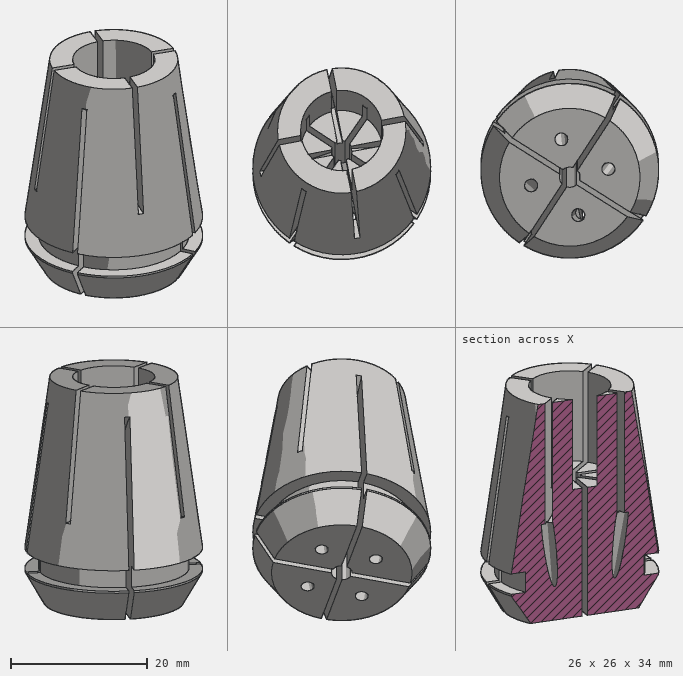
import cadquery as cq
import math


height = 34.0
max_radius = 13.0
taper_angle = 8.0
nose_angle = 30.0
nose_height = 4.75
rim_height = 0.3
groove_radius = 11.0
groove_width = 3.1

bore_radius = 6.0
bore_floor_z = 20.0
nose_bore_radius = 1.5

slot_width = 0.8
blade_radius = 16.5
nose_slot_outer_z = 30.5
nose_slot_inner_z = 27.2
back_slot_center_radius = 12.2
back_slot_floor_z = 14.5
quarter_turns = (0, 90, 180, 270)
back_slot_offset = 45

coolant_diameter = 1.87
coolant_tilt = 10.0
coolant_end_radius = 8.45
coolant_end_z = 15.2

groove_bottom_z = nose_height + rim_height
groove_top_z = groove_bottom_z + groove_width
taper = math.tan(math.radians(taper_angle))
nose_radius = max_radius - nose_height * math.tan(math.radians(nose_angle))
top_radius = max_radius - (height - groove_top_z) * taper
reach = max_radius + 1.0


def make_body():
    """Revolve the outer profile and cut the stepped bore."""
    profile = (
        cq.Workplane("XZ")
        .lineTo(nose_radius, 0)
        .lineTo(max_radius, nose_height)
        .lineTo(max_radius, groove_bottom_z)
        .lineTo(groove_radius, groove_bottom_z)
        .lineTo(groove_radius, groove_top_z)
        .lineTo(max_radius, groove_top_z)
        .lineTo(top_radius, height)
        .lineTo(0, height)
        .close()
    )
    body = profile.revolve(360, (0, 0), (0, 1))
    nose_bore = cq.Workplane("XY").circle(nose_bore_radius).extrude(height)
    main_bore = cq.Workplane("XY", origin=(0, 0, bore_floor_z)).circle(bore_radius).extrude(height)
    return body.cut(nose_bore).cut(main_bore)


def make_nose_slot():
    """Slot open at the nose, with its upper end rounded by the blade from the main bore outwards."""
    surface_radius = top_radius + (height - nose_slot_outer_z) * taper
    outline = (
        cq.Workplane("XZ")
        .lineTo(0, nose_slot_inner_z)
        .lineTo(bore_radius, nose_slot_inner_z)
        .radiusArc((surface_radius, nose_slot_outer_z), blade_radius)
        .lineTo(reach, nose_slot_outer_z)
        .lineTo(reach, 0)
        .close()
    )
    return outline.extrude(slot_width / 2, both=True)


def make_back_slot():
    """Slot open at the back face, with a floor that curves up from the cone towards the axis."""
    inner_radius = nose_bore_radius / 2
    center_offset = back_slot_center_radius - inner_radius
    curve_rise = blade_radius - math.sqrt(blade_radius**2 - center_offset**2)
    outline = (
        cq.Workplane("XZ")
        .moveTo(inner_radius, height)
        .lineTo(inner_radius, back_slot_floor_z + curve_rise)
        .radiusArc((back_slot_center_radius, back_slot_floor_z), -blade_radius)
        .lineTo(reach, back_slot_floor_z)
        .lineTo(reach, height)
        .close()
    )
    return outline.extrude(slot_width / 2, both=True)


def make_coolant_hole():
    """Cylinder that leans outwards from the nose face and ends at the floor of a back slot."""
    tilt = math.radians(coolant_tilt)
    axis = cq.Vector(-math.sin(tilt), 0, -math.cos(tilt))
    end_center = cq.Vector(coolant_end_radius, 0, coolant_end_z)
    length = coolant_end_z / math.cos(tilt) + coolant_diameter
    return cq.Workplane(cq.Solid.makeCylinder(coolant_diameter / 2, length, end_center, axis))


def turn(shape, angle):
    """Rotate a shape about the collet axis."""
    return shape.rotate((0, 0, 0), (0, 0, 1), angle)


result = make_body()
nose_slot = make_nose_slot()
back_slot = make_back_slot()
coolant_hole = make_coolant_hole()
for angle in quarter_turns:
    result = result.cut(turn(nose_slot, angle))
    result = result.cut(turn(back_slot, angle + back_slot_offset))
    result = result.cut(turn(coolant_hole, angle + back_slot_offset))